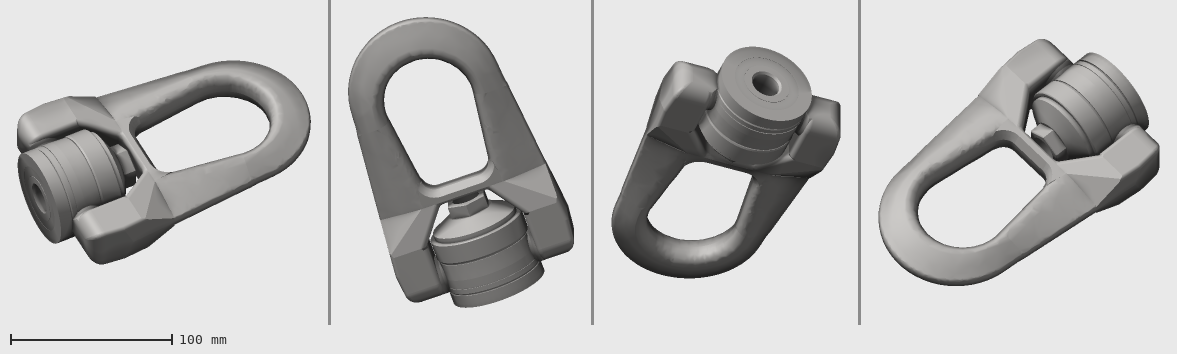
import cadquery as cq
import math


TOP_Y = 183.0
BOW_RADIUS = 48.3
BOW_TAPER = 5.3
BOW_Y = TOP_Y - BOW_RADIUS
EYE_RADIUS = 27.8
EYE_Y = 129.0
EYE_FLOOR_Y = 74.0
EYE_TAPER = 7.3
EYE_CORNER = 9.2
RIDGE_OFFSET = 8.0
HALF_THICK = 10.0
RIM_HALF = 4.0
RIM_DEPTH = 1.8
ARC_STEPS = 6

SHOULDER_Y = 66.6
RIDGE_FOOT_X = 27.3
WIDEST_X = 57.5
WIDEST_Y = 36.6
ARM_HALF = 15.2
ARM_FLAT_Y = 44.0
ARM_FOOT_Y = 8.8
ARM_FOOT_X = 54.5
ARM_FOOT_ROUND = 9.9
ARM_EDGE_ROUND = 2.5
CORNER_X = 55.5
CORNER_Y = 45.5
WINDOW_HALF = 31.7
WINDOW_SIDE_Y = 44.0
WINDOW_TOP_Y = 64.6
WINDOW_TOP_HALF = 15.5
WINDOW_CORNER = 5.5
WINDOW_EDGE_ROUND = 3.3
CROSSBAR_NARROWING = 2.7
CROSSBAR_TOP_Y = 81.5
EYE_FLARE_Z = 4.5
EYE_FLARE = 34

PIVOT_Y = ARM_FOOT_Y + ARM_FOOT_ROUND
BOSS_RADIUS = 11.7
BOSS_ROOT_RADIUS = 13.2
BOSS_END_X = 26.5
BOSS_CONE_X = 29.6
BOSS_ROOT_X = 32.2
BOSS_EMBED_X = 35.9

BODY_RADIUS = 30.0
BODY_WAIST_RADIUS = 29.5
BODY_BOTTOM_Y = 8.8
FOOT_NECK_RADIUS = 29.0
BODY_TOP_Y = 43.0
GROOVE_Y = 12.5
GROOVE_WIDTH = 0.5
GROOVE_DEPTH = 0.5
WAIST_Y = 29.0
NECK_Y = 29.6
NECK_RADIUS = 28.7
COLLAR_Y = 30.7
BODY_CHAMFER = 0.5

FOOT_HEIGHT = 8.0
FOOT_RELIEF_RADIUS = 21.2
FOOT_RELIEF_DEPTH = 0.2

SPINDLE_RADIUS = 14.8
BORE_RADIUS = 14.91
FLANGE_RADIUS = 27.0
FLANGE_TOP_Y = 46.3
CONE_TOP_Y = 53.0
CONE_TOP_RADIUS = 14.3
HEX_TOP_Y = 61.3
HEX_FLATS = 24.0
HEX_CHAMFER = 0.5
HOLE_RADIUS = 8.7
HOLE_MOUTH_RADIUS = 9.97

SELECT_MARGIN = 0.2


def mirror_x(points):
    return [(-x, y) for x, y in reversed(points)]


def turned(profile):
    """Solid of revolution about Y from (radius, y) points."""
    return cq.Workplane("XY").polyline(profile).close().revolve(360, (0, 0, 0), (0, 1, 0))


def cylinder_y(radius, bottom, top):
    return turned([(0, bottom), (radius, bottom), (radius, top), (0, top)])


def prism_z(points, half_height):
    return cq.Workplane("XY").polyline(points).close().extrude(half_height, both=True)


def eye_half_width(y):
    """Half width of the straight-sided part of the eye."""
    slope = math.radians(EYE_TAPER)
    return EYE_RADIUS / math.cos(slope) - (EYE_Y - y) * math.tan(slope)


def outer_half_width(y):
    """Half width over the straight outer sides of the legs."""
    slope = math.radians(BOW_TAPER)
    return BOW_RADIUS / math.cos(slope) + (BOW_Y - y) * math.tan(slope)


def arc_station(angle):
    """Inner point, outer point and ridge offset on a ray from the eye centre."""
    ray = cq.Vector(math.cos(math.radians(angle)), math.sin(math.radians(angle)))
    centre = cq.Vector(0, EYE_Y)
    lift = BOW_Y - EYE_Y
    reach = lift * ray.y + math.sqrt(BOW_RADIUS**2 - (lift * ray.x)**2)
    tangent_y = BOW_Y + BOW_RADIUS * math.sin(math.radians(BOW_TAPER))
    if EYE_Y + reach * ray.y < tangent_y:
        slope = math.tan(math.radians(BOW_TAPER))
        reach = outer_half_width(EYE_Y) / (ray.x + slope * ray.y)
    return centre + ray * EYE_RADIUS, centre + ray * reach, RIDGE_OFFSET


def foot_station():
    """Level station where a leg meets its arm."""
    inner_x = eye_half_width(SHOULDER_Y)
    inner = cq.Vector(inner_x, SHOULDER_Y)
    outer = cq.Vector(outer_half_width(SHOULDER_Y), SHOULDER_Y)
    return inner, outer, RIDGE_FOOT_X - inner_x


def bow_section(station):
    """Closed section: round towards the eye, thickest at the ridge, thin at the outer rim."""
    inner, outer, ridge_offset = station
    width = (outer - inner).Length
    ray = (outer - inner).normalized()
    rim_offset = width - RIM_DEPTH
    fall = (HALF_THICK - RIM_HALF) / (rim_offset - ridge_offset)

    def half(side):
        up = cq.Vector(0, 0, side)
        points = [
            inner,
            inner + ray * ridge_offset + up * HALF_THICK,
            inner + ray * rim_offset + up * RIM_HALF,
            outer,
        ]
        tangents = [up, ray - up * (fall / 2), ray - up * fall, -up]
        return cq.Edge.makeSpline(points, tangents=tangents)

    return cq.Wire.assembleEdges([half(1), half(-1)])


def mirror_station(station):
    inner, outer, ridge_offset = station
    return cq.Vector(-inner.x, inner.y), cq.Vector(-outer.x, outer.y), ridge_offset


def bow():
    """Curved part of the link, over the crown."""
    span = 90 + EYE_TAPER
    right = [arc_station(90 - span * i / ARC_STEPS) for i in range(ARC_STEPS + 1)]
    left = [mirror_station(station) for station in reversed(right[1:])]
    return cq.Workplane(cq.Solid.makeLoft([bow_section(station) for station in left + right]))


def leg():
    """Straight +X side of the link, from the bow to the shoulder."""
    sections = [bow_section(arc_station(-EYE_TAPER)), bow_section(foot_station())]
    return cq.Workplane(cq.Solid.makeLoft(sections, True))


def crossbar():
    """Bar between the legs, hollowed by the straight end of the eye."""
    bar_right = [
        (RIDGE_FOOT_X, SHOULDER_Y),
        (RIDGE_FOOT_X - CROSSBAR_NARROWING, CROSSBAR_TOP_Y),
    ]
    bar = prism_z(bar_right + mirror_x(bar_right), HALF_THICK)
    eye_right = [(eye_half_width(EYE_FLOOR_Y), EYE_FLOOR_Y), (eye_half_width(EYE_Y), EYE_Y)]
    eye = prism_z(eye_right + mirror_x(eye_right), EYE_FLARE_Z).edges("|Z and <Y").fillet(EYE_CORNER)
    mouth = eye.faces(">Z").wires().toPending().extrude(HALF_THICK, taper=-EYE_FLARE, combine=False)
    return bar.cut(eye).cut(mouth).cut(mouth.mirror("XY"))


def envelope():
    """Side profile of the arms, swept across the full width."""
    return (
        cq.Workplane("YZ")
        .moveTo(SHOULDER_Y, -HALF_THICK)
        .lineTo(SHOULDER_Y, HALF_THICK)
        .lineTo(ARM_FLAT_Y, ARM_HALF)
        .lineTo(PIVOT_Y, ARM_HALF)
        .radiusArc((ARM_FOOT_Y, ARM_HALF - ARM_FOOT_ROUND), -ARM_FOOT_ROUND)
        .lineTo(ARM_FOOT_Y, ARM_FOOT_ROUND - ARM_HALF)
        .radiusArc((PIVOT_Y, -ARM_HALF), -ARM_FOOT_ROUND)
        .lineTo(ARM_FLAT_Y, -ARM_HALF)
        .close()
        .extrude(2 * WIDEST_X, both=True)
    )


def block_beyond(first, second, third):
    """Large block on one face plane; it lies where the three points run anticlockwise."""
    along = second - first
    plane = cq.Plane(origin=first, xDir=along, normal=along.cross(third - first))
    size = 4 * WIDEST_X
    return cq.Workplane(plane).rect(size, size).extrude(size)


def facet_cutters():
    """Blocks over the upper corner facet and the side facet of the +X, +Z quarter."""
    shoulder_x = outer_half_width(SHOULDER_Y)
    rise = (ARM_HALF - HALF_THICK) / (SHOULDER_Y - ARM_FLAT_Y)
    crease = cq.Vector(RIDGE_FOOT_X, SHOULDER_Y, HALF_THICK)
    corner = cq.Vector(CORNER_X, CORNER_Y, HALF_THICK + rise * (SHOULDER_Y - CORNER_Y))
    rim = cq.Vector(shoulder_x - RIM_DEPTH, SHOULDER_Y, RIM_HALF)
    shoulder = cq.Vector(shoulder_x, SHOULDER_Y, 0)
    widest = cq.Vector(WIDEST_X, WIDEST_Y, 0)
    return block_beyond(crease, corner, rim), block_beyond(shoulder, corner, widest)


def arms():
    outer = [
        (ARM_FOOT_X, ARM_FOOT_Y),
        (WIDEST_X, WIDEST_Y),
        (outer_half_width(SHOULDER_Y), SHOULDER_Y),
    ]
    blank = prism_z(outer + mirror_x(outer), ARM_HALF)
    blank = blank.edges("|Z and <Y").fillet(ARM_FOOT_ROUND).intersect(envelope())
    for cutter in facet_cutters():
        for block in (cutter, cutter.mirror("XY")):
            blank = blank.cut(block).cut(block.mirror("YZ"))
    return blank


def window():
    right = [(WINDOW_HALF, 0), (WINDOW_HALF, WINDOW_SIDE_Y), (WINDOW_TOP_HALF, WINDOW_TOP_Y)]
    opening = prism_z(right + mirror_x(right), 2 * ARM_HALF)
    return opening.edges("|Z and >Y").fillet(WINDOW_CORNER)


def boss():
    """Pivot boss on the +X arm, levelled with the lower end of the arm."""
    profile = [
        (0, BOSS_END_X), (BOSS_RADIUS, BOSS_END_X), (BOSS_RADIUS, BOSS_CONE_X),
        (BOSS_ROOT_RADIUS, BOSS_ROOT_X), (BOSS_ROOT_RADIUS, BOSS_EMBED_X), (0, BOSS_EMBED_X),
    ]
    disc = (
        cq.Workplane("XY").polyline([(x, PIVOT_Y + r) for r, x in profile]).close()
        .revolve(360, (0, PIVOT_Y, 0), (1, PIVOT_Y, 0))
    )
    return disc.intersect(envelope())


def bosses():
    return boss().union(boss().mirror("YZ"))


def outer_edges(x_side, z_side):
    """Selects the long outer edges of one arm on one face; the sides are 1 or -1."""
    return cq.selectors.BoxSelector(
        (x_side * ARM_FOOT_X, PIVOT_Y, z_side * (ARM_HALF - SELECT_MARGIN)),
        (x_side * 2 * WIDEST_X, ARM_FLAT_Y - SELECT_MARGIN, z_side * 2 * ARM_HALF))


def window_edges(side):
    """Selects the edges of the window on one side (1 or -1) of Z."""
    return cq.selectors.BoxSelector(
        (-WINDOW_HALF - SELECT_MARGIN, 0, side * ARM_HALF / 2),
        (WINDOW_HALF + SELECT_MARGIN, SHOULDER_Y - SELECT_MARGIN, side * 2 * ARM_HALF))


def link():
    solid = arms().cut(window()).union(crossbar())
    solid = solid.edges(window_edges(1) + window_edges(-1)).fillet(WINDOW_EDGE_ROUND)
    for x_side in (1, -1):
        for z_side in (1, -1):
            solid = solid.edges(outer_edges(x_side, z_side)).fillet(ARM_EDGE_ROUND)
    solid = solid.union(leg()).union(leg().mirror("YZ")).union(bow())
    return solid.union(bosses())


def swivel_body(fitted_link):
    groove_top = GROOVE_Y + GROOVE_WIDTH
    profile = [
        (BORE_RADIUS, FOOT_HEIGHT),
        (FOOT_NECK_RADIUS, FOOT_HEIGHT),
        (FOOT_NECK_RADIUS, BODY_BOTTOM_Y),
        (BODY_RADIUS - BODY_CHAMFER, BODY_BOTTOM_Y),
        (BODY_RADIUS, BODY_BOTTOM_Y + BODY_CHAMFER),
        (BODY_RADIUS, GROOVE_Y),
        (BODY_RADIUS - GROOVE_DEPTH, GROOVE_Y),
        (BODY_RADIUS - GROOVE_DEPTH, groove_top),
        (BODY_RADIUS, groove_top),
        (BODY_RADIUS, PIVOT_Y),
        (BODY_WAIST_RADIUS, WAIST_Y),
        (NECK_RADIUS, WAIST_Y),
        (NECK_RADIUS, NECK_Y),
        (BODY_RADIUS - BODY_CHAMFER, NECK_Y),
        (BODY_RADIUS, COLLAR_Y),
        (BODY_RADIUS, BODY_TOP_Y - BODY_CHAMFER),
        (BODY_RADIUS - BODY_CHAMFER, BODY_TOP_Y),
        (BORE_RADIUS, BODY_TOP_Y),
    ]
    return turned(profile).cut(fitted_link)


def foot_ring():
    profile = [
        (BORE_RADIUS, FOOT_RELIEF_DEPTH),
        (FOOT_RELIEF_RADIUS, FOOT_RELIEF_DEPTH),
        (FOOT_RELIEF_RADIUS, 0),
        (BODY_RADIUS, 0),
        (BODY_RADIUS, FOOT_HEIGHT),
        (BORE_RADIUS, FOOT_HEIGHT),
    ]
    return turned(profile)


def spindle():
    mouth_depth = HOLE_MOUTH_RADIUS - HOLE_RADIUS
    stem = turned([
        (HOLE_RADIUS, mouth_depth),
        (HOLE_MOUTH_RADIUS, 0),
        (SPINDLE_RADIUS, 0),
        (SPINDLE_RADIUS, BODY_TOP_Y),
        (FLANGE_RADIUS, BODY_TOP_Y),
        (FLANGE_RADIUS, FLANGE_TOP_Y),
        (CONE_TOP_RADIUS, CONE_TOP_Y),
        (HOLE_RADIUS, CONE_TOP_Y),
    ])
    corner = HEX_FLATS / math.sqrt(3)
    hexagon = [
        (corner * math.sin(math.radians(60 * i)), corner * math.cos(math.radians(60 * i)))
        for i in range(6)
    ]
    head = (
        cq.Workplane("XZ", origin=(0, CONE_TOP_Y, 0)).polyline(hexagon).close()
        .extrude(CONE_TOP_Y - HEX_TOP_Y)
        .faces(">Y").chamfer(HEX_CHAMFER)
    )
    head = head.cut(cylinder_y(HOLE_RADIUS, 0, HEX_TOP_Y))
    return stem.union(head)


ring_link = link()
body = swivel_body(ring_link)
foot = foot_ring()
shaft = spindle()

result = cq.Compound.makeCompound([ring_link.val(), body.val(), foot.val(), shaft.val()])